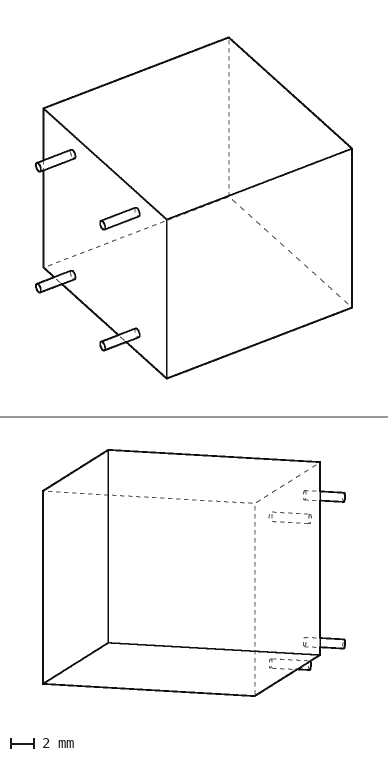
import cadquery as cq

housing_width = 19.2
housing_height = 16.7
overall_depth = 22.3

pin_length = 3.5
pin_diameter = 0.8
pin_spacing_x = 10.0
pin_spacing_z = 12.69

housing_depth = overall_depth - pin_length


def make_housing():
    """Plain block centred on X and Z, with its pin face on the plane Y = 0."""
    return cq.Workplane("XY").box(
        housing_width, housing_depth, housing_height, centered=(True, False, True)
    )


def make_pin(x, z):
    """Round pin that starts on the pin face and points toward -Y."""
    return cq.Workplane("XZ").center(x, z).circle(pin_diameter / 2).extrude(pin_length)


housing = make_housing()

pins = []
for x in (-pin_spacing_x / 2, pin_spacing_x / 2):
    for z in (-pin_spacing_z / 2, pin_spacing_z / 2):
        pins.append(make_pin(x, z).val())

result = cq.Compound.makeCompound([housing.val(), *pins])